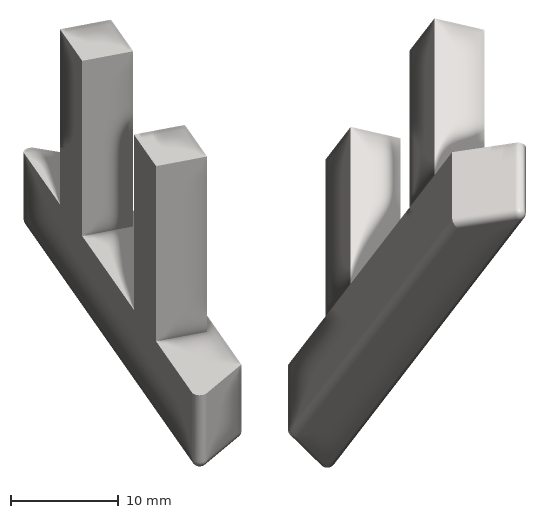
import cadquery as cq

length = 47.0
depth = 6.0
base_height = 8.05
back_length = 39.2
end_flat = 1.05
edge_radius = 0.75

total_height = 27.0
post_width = 6.0
post_depth = 5.05
post_spacing = 20.0

front_y = -depth / 2
back_y = depth / 2


def make_base():
    slope_start_y = front_y + end_flat
    base = (
        cq.Workplane("XY")
        .moveTo(-length / 2, front_y)
        .lineTo(length / 2, front_y)
        .lineTo(length / 2, slope_start_y)
        .lineTo(back_length / 2, back_y)
        .lineTo(-back_length / 2, back_y)
        .lineTo(-length / 2, slope_start_y)
        .close()
        .extrude(base_height)
    )
    base = base.faces("<X or >X").edges("|Z").fillet(edge_radius)
    return base.faces("<Z").edges().fillet(edge_radius)


def make_post(center_x):
    return (
        cq.Workplane("XY", origin=(center_x, front_y + post_depth / 2, base_height))
        .rect(post_width, post_depth)
        .extrude(total_height - base_height)
    )


result = make_base()
for side in (-1, 1):
    result = result.union(make_post(side * post_spacing / 2))